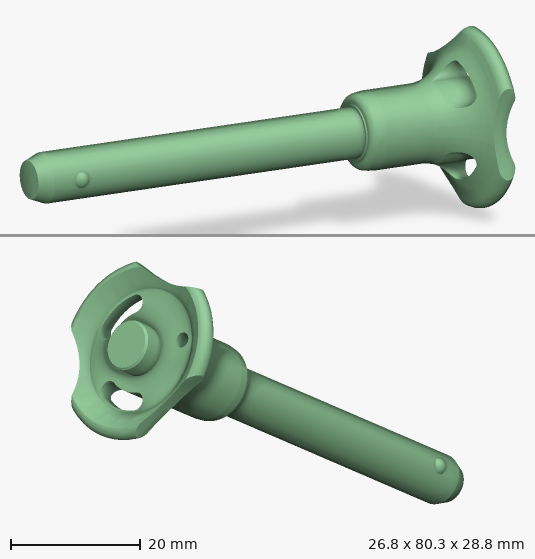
import cadquery as cq
import math

length = 80.3

shank_radius = 4.0
tip_radius = 3.05
tip_length = 2.4
ball_radius = 1.4
ball_reach = 4.7
ball_to_tip = 7.15

button_radius = 4.0
button_chamfer = 0.3

sleeve_radius = 6.3
sleeve_start = 12.6
taper_start = 20.8
taper_end = 22.5
taper_radius = 6.0
sleeve_end = 23.3
sleeve_end_radius = 5.1
collar_end = 23.5
collar_radius = 4.5

handle_back = 1.45
handle_diameter = 28.8
handle_radius = handle_diameter / 2
rim_radius = 1.45
recess_depth = 2.2
recess_floor_radius = 10.0

lobe_count = 3
lobe_angle = 59.0
lobe_mid_angle = 60.0
scallop_mid_radius = 11.3

opening_radius = 8.1
lanyard_hole_radius = 1.2
slot_radius = 1.45
slot_half_angle = 22.0


def polar(radius, degrees):
    """Point in the XZ plane, with the angle counted from +X toward +Z."""
    angle = math.radians(degrees)
    return radius * math.cos(angle), radius * math.sin(angle)


def revolve_about_y(profile):
    return profile.close().revolve(360, (0, 0, 0), (0, 1, 0))


def make_flare():
    rim_center_radius = handle_radius - rim_radius
    rim_center_y = -(handle_back + rim_radius)
    flare_height = rim_center_y + sleeve_start
    overhang = rim_center_radius - sleeve_radius
    flare_radius = (overhang**2 + flare_height**2 - rim_radius**2) / (2 * (overhang + rim_radius))
    flare_center_radius = sleeve_radius + flare_radius
    tangent_angle = math.atan2(flare_height, rim_center_radius - flare_center_radius)
    middle_angle = (tangent_angle + math.pi) / 2

    def flare_point(angle):
        return (
            flare_center_radius + flare_radius * math.cos(angle),
            -sleeve_start + flare_radius * math.sin(angle),
        )

    recess_floor = -(handle_back + recess_depth)
    return revolve_about_y(
        cq.Workplane("XY")
        .moveTo(0, -sleeve_start)
        .lineTo(sleeve_radius, -sleeve_start)
        .threePointArc(flare_point(middle_angle), flare_point(tangent_angle))
        .threePointArc((handle_radius, rim_center_y), (rim_center_radius, -handle_back))
        .lineTo(recess_floor_radius, recess_floor)
        .lineTo(0, recess_floor)
    )


def make_handle_outline():
    outline = cq.Workplane("XZ").moveTo(*polar(handle_radius, lobe_mid_angle - lobe_angle / 2))
    for index in range(lobe_count):
        lobe_middle = lobe_mid_angle + index * 360 / lobe_count
        lobe_end = lobe_middle + lobe_angle / 2
        scallop_middle = lobe_middle + 180 / lobe_count
        next_lobe_start = lobe_middle + 360 / lobe_count - lobe_angle / 2
        outline = outline.threePointArc(
            polar(handle_radius, lobe_middle),
            polar(handle_radius, lobe_end),
        )
        outline = outline.threePointArc(
            polar(scallop_mid_radius, scallop_middle),
            polar(handle_radius, next_lobe_start),
        )
    return outline.close().extrude(sleeve_start)


def make_slot(middle_angle):
    start = middle_angle - slot_half_angle
    end = middle_angle + slot_half_angle
    inner = opening_radius - slot_radius
    outer = opening_radius + slot_radius
    start_x, start_z = polar(opening_radius, start)
    end_x, end_z = polar(opening_radius, end)
    start_dx, start_dz = polar(slot_radius, start - 90)
    end_dx, end_dz = polar(slot_radius, end + 90)
    sketch = (
        cq.Workplane("XZ")
        .moveTo(*polar(outer, start))
        .threePointArc(polar(outer, middle_angle), polar(outer, end))
        .threePointArc((end_x + end_dx, end_z + end_dz), polar(inner, end))
        .threePointArc(polar(inner, middle_angle), polar(inner, start))
        .threePointArc((start_x + start_dx, start_z + start_dz), polar(outer, start))
        .close()
    )
    return sketch.extrude(sleeve_start)


def make_handle():
    handle = make_flare().intersect(make_handle_outline())
    lanyard_hole = cq.Workplane("XZ").center(-opening_radius, 0).circle(lanyard_hole_radius)
    handle = handle.cut(lanyard_hole.extrude(sleeve_start))
    for middle_angle in (lobe_mid_angle, -lobe_mid_angle):
        handle = handle.cut(make_slot(middle_angle))
    return handle


def make_body():
    """Sleeve, collar, shank and button as one turned profile."""
    return revolve_about_y(
        cq.Workplane("XY")
        .lineTo(button_radius - button_chamfer, 0)
        .lineTo(button_radius, -button_chamfer)
        .lineTo(button_radius, -sleeve_start)
        .lineTo(sleeve_radius, -sleeve_start)
        .lineTo(sleeve_radius, -taper_start)
        .tangentArcPoint((taper_radius, -taper_end), relative=False)
        .tangentArcPoint((sleeve_end_radius, -sleeve_end), relative=False)
        .lineTo(collar_radius, -sleeve_end)
        .lineTo(collar_radius, -collar_end)
        .lineTo(shank_radius, -collar_end)
        .lineTo(shank_radius, -length + tip_length)
        .lineTo(tip_radius, -length)
        .lineTo(0, -length)
    )


def make_ball(side):
    center = (side * (ball_reach - ball_radius), -length + ball_to_tip, 0)
    return cq.Workplane("XY").sphere(ball_radius).translate(center)


result = make_body().union(make_handle())
for side in (-1, 1):
    result = result.union(make_ball(side))